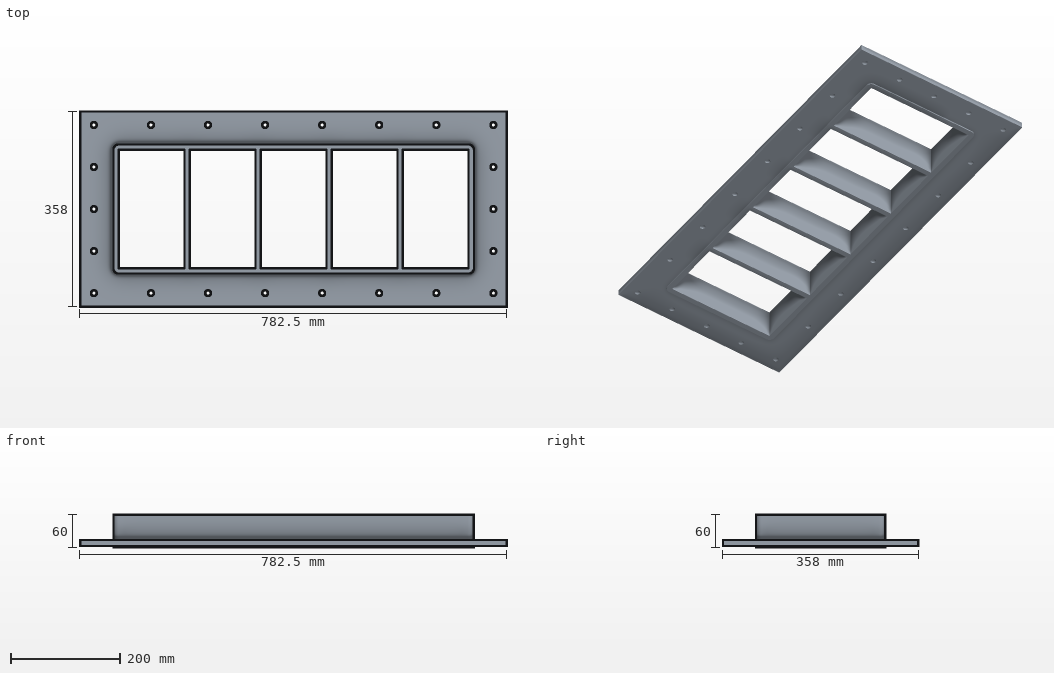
import cadquery as cq

flange_length = 782.5
flange_width = 358.0
flange_thickness = 12.0

frame_length = 661.0
frame_width = 237.0
total_height = 60.0
frame_projection_below = 2.0
frame_corner_radius = 10.0
wall_thickness = 10.0

window_count = 5
window_pitch = (frame_length - wall_thickness) / window_count
window_length = window_pitch - wall_thickness
window_width = frame_width - 2 * wall_thickness

hole_diameter = 10.0
hole_edge_distance = 25.0
holes_along_length = 8
holes_along_width = 5
hole_span_x = flange_length - 2 * hole_edge_distance
hole_span_y = flange_width - 2 * hole_edge_distance


def bolt_hole_centers():
    """Return the hole centers on the perimeter of a rectangle, each once."""
    pitch_x = hole_span_x / (holes_along_length - 1)
    pitch_y = hole_span_y / (holes_along_width - 1)
    centers = []
    for side in (-1, 1):
        for i in range(holes_along_length):
            centers.append((i * pitch_x - hole_span_x / 2, side * hole_span_y / 2))
        for j in range(1, holes_along_width - 1):
            centers.append((side * hole_span_x / 2, j * pitch_y - hole_span_y / 2))
    return centers


def make_flange():
    """Flat rectangular plate with its underside at Z = 0 and a ring of bolt holes."""
    plate = cq.Workplane("XY").rect(flange_length, flange_width).extrude(flange_thickness)
    return plate.faces(">Z").workplane().pushPoints(bolt_hole_centers()).hole(hole_diameter)


def make_frame_block():
    """Solid outer envelope of the frame, rounded at its vertical corners."""
    block = (
        cq.Workplane("XY")
        .workplane(offset=-frame_projection_below)
        .rect(frame_length, frame_width)
        .extrude(total_height)
    )
    return block.edges("|Z").fillet(frame_corner_radius)


def make_windows():
    """Row of sharp-cornered openings through the full height of the frame."""
    return (
        cq.Workplane("XY")
        .workplane(offset=-frame_projection_below)
        .rarray(window_pitch, 8, window_count, 1)
        .rect(window_length, window_width)
        .extrude(total_height)
    )


result = make_flange().union(make_frame_block()).cut(make_windows())